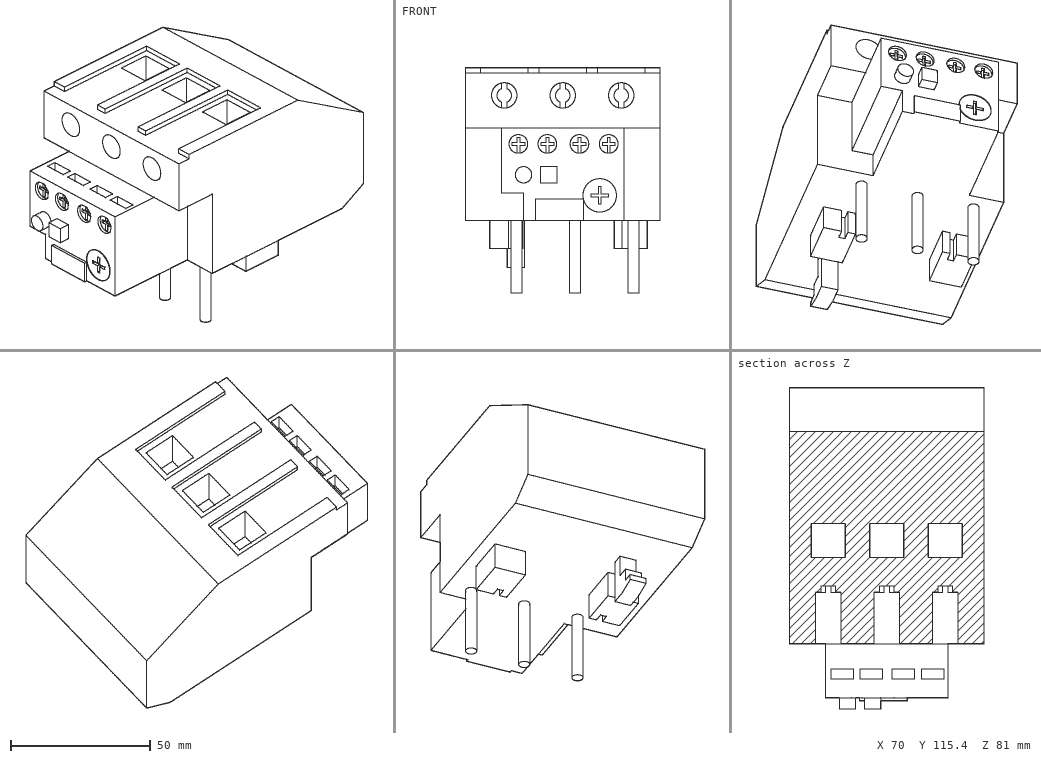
import cadquery as cq


width = 70.0
height = 55.0
depth = 92.0
overhang_depth = 16.6
overhang_z = 33.4
roof_slope_start_y = 59.3
roof_slope_end_z = 35.9
rear_bevel_y = 81.3
rear_bevel_z = 6.0

pole_pitch = 21.0
pole_xs = (-pole_pitch, 0, pole_pitch)
recess_depth = 1.8
front_step_length = 5.1
channel_width = 17.1
channel_end_y = 46.0
well_size = 12.1
well_front_y = 31.1
well_depth = 16.2
main_screw_z = 45
main_hole_diameter = 9.1
main_hole_depth = 18.5
screw_drive_diameter = 5.2
screw_drive_slot_width = 2.1
screw_drive_depth = 2.3

block_width = 44.1
block_front_y = -19.4
notch_right_x = -14.1
notch_height = 10.0

control_xs = (-15.9, -5.5, 6.0, 16.5)
control_screw_z = 27.6
control_screw_diameter = 6.7
control_screw_recess = 1.2
control_slot_width = 8.1
control_slot_length = 3.6
control_slot_rear_y = -9.0
control_slot_depth = 6.9
cross_arm = 2.3
cross_width = 1.0
cross_depth = 1.2

dial_x = 13.3
dial_z = 9.1
dial_diameter = 12.0
dial_recess = 0.2
dial_cross_arm = 3.1
button_length = 4.0
button_z = 16.5
round_button_x = -14.1
round_button_diameter = 5.9
square_button_x = -5.1
square_button_size = 5.9
label_left_x = -9.8
label_width = 17.2
label_height = 7.9
label_thickness = 1.0

pin_middle_x = 4.4
pin_y = 22.5
pin_diameter = 4.0
pin_length = 26.0

posts_middle_x = 2.1
post_spacing = 44.7
post_width = 12.0
post_front_y = 37.8
post_length_y = 16.2
post_height = 10.0
post_slot_width = 2.3
post_slot_offset = 2.0
post_slot_depth = 3.5

hook_left_x = -20.0
hook_width = 6.2
hook_front_y = 61.0
hook_stem_rear_y = 65.4
hook_step_y = 70.1
hook_tip_y = 74.2
hook_chamfer_y = 67.5
hook_step_z = -8.3
hook_tip_top_z = -13.0
hook_tip_bottom_z = -15.1
hook_bottom_z = -16.9


def box(x_min, y_min, z_min, x_size, y_size, z_size):
    """Box placed by its lowest corner."""
    return cq.Workplane().box(x_size, y_size, z_size, centered=False).translate((x_min, y_min, z_min))


def side_prism(points, x_min, x_size):
    """Outline of (y, z) points extruded along +X."""
    return cq.Workplane("YZ").polyline(points).close().extrude(x_size).translate((x_min, 0, 0))


def rod_y(x, z, diameter, y_min, y_size):
    """Cylinder along Y, starting at y_min and running towards +Y."""
    return cq.Workplane("XZ").circle(diameter / 2).extrude(-y_size).translate((x, y_min, z))


def cross_recess(x, z, arm, y_min, lower_arm):
    """Cross-shaped cutter whose downward arm may be longer than the others."""
    half = cross_width / 2
    bar = box(x - arm, y_min, z - half, 2 * arm, cross_depth, cross_width)
    upright = box(x - half, y_min, z - lower_arm, cross_width, cross_depth, lower_arm + arm)
    return bar.union(upright)


def housing():
    profile = [
        (overhang_depth, 0),
        (rear_bevel_y, 0),
        (depth, rear_bevel_z),
        (depth, roof_slope_end_z),
        (roof_slope_start_y, height),
        (front_step_length, height),
        (front_step_length, height - recess_depth),
        (0, height - recess_depth),
        (0, overhang_z),
        (overhang_depth, overhang_z),
    ]
    return side_prism(profile, -width / 2, width)


def main_terminal_cutter(x):
    """Top channel, wire well and front screw hole of one pole."""
    channel_floor = height - recess_depth
    channel = box(x - channel_width / 2, 0, channel_floor, channel_width, channel_end_y, recess_depth)
    well = box(
        x - well_size / 2, well_front_y, channel_floor - well_depth,
        well_size, well_size, well_depth,
    )
    hole = rod_y(x, main_screw_z, main_hole_diameter, 0, main_hole_depth)
    drive_round = rod_y(x, main_screw_z, screw_drive_diameter, main_hole_depth, screw_drive_depth)
    drive_slot = box(
        x - screw_drive_slot_width / 2, main_hole_depth, main_screw_z - main_hole_diameter / 2,
        screw_drive_slot_width, screw_drive_depth, main_hole_diameter,
    )
    drive_slot = drive_slot.intersect(
        rod_y(x, main_screw_z, main_hole_diameter, main_hole_depth, screw_drive_depth)
    )
    return channel.union(well).union(hole).union(drive_round).union(drive_slot)


def control_block():
    block_depth = overhang_depth - block_front_y
    block = box(-block_width / 2, block_front_y, 0, block_width, block_depth, overhang_z)
    notch_width = notch_right_x + block_width / 2
    return block.cut(box(-block_width / 2, block_front_y, 0, notch_width, block_depth, notch_height))


def control_terminal_cutter(x):
    """Top wire slot and front screw recess of one control terminal."""
    slot = box(
        x - control_slot_width / 2, control_slot_rear_y - control_slot_length,
        overhang_z - control_slot_depth,
        control_slot_width, control_slot_length, control_slot_depth,
    )
    recess = rod_y(x, control_screw_z, control_screw_diameter, block_front_y, control_screw_recess)
    cross = cross_recess(
        x, control_screw_z, cross_arm,
        block_front_y + control_screw_recess, control_screw_diameter / 2,
    )
    return slot.union(recess).union(cross)


def dial_cutter():
    recess = rod_y(dial_x, dial_z, dial_diameter, block_front_y, dial_recess)
    cross_y = block_front_y + dial_recess
    return recess.union(cross_recess(dial_x, dial_z, dial_cross_arm, cross_y, dial_cross_arm))


def buttons():
    front_y = block_front_y - button_length
    round_button = rod_y(round_button_x, button_z, round_button_diameter, front_y, button_length)
    square_button = box(
        square_button_x - square_button_size / 2, front_y, button_z - square_button_size / 2,
        square_button_size, button_length, square_button_size,
    )
    return round_button.union(square_button)


def label_plate():
    """Plate whose back fills the dial recess where the two overlap."""
    return box(
        label_left_x, block_front_y - label_thickness, 0,
        label_width, label_thickness + dial_recess, label_height,
    )


def pins():
    places = [(pin_middle_x + x, pin_y) for x in pole_xs]
    return cq.Workplane().pushPoints(places).circle(pin_diameter / 2).extrude(-pin_length)


def support_post(side):
    """Post with a blind front slot; side is -1 for left and +1 for right."""
    x = posts_middle_x + side * post_spacing / 2
    post = box(x - post_width / 2, post_front_y, -post_height, post_width, post_length_y, post_height)
    slot_x = x - side * post_slot_offset
    return post.cut(
        box(
            slot_x - post_slot_width / 2, post_front_y, -post_height,
            post_slot_width, post_slot_depth, post_height,
        )
    )


def hook():
    profile = [
        (hook_front_y, 0),
        (hook_stem_rear_y, 0),
        (hook_stem_rear_y, hook_step_z),
        (hook_step_y, hook_step_z),
        (hook_step_y, hook_tip_top_z),
        (hook_tip_y, hook_tip_top_z),
        (hook_tip_y, hook_tip_bottom_z),
        (hook_chamfer_y, hook_bottom_z),
        (hook_front_y, hook_bottom_z),
    ]
    return side_prism(profile, hook_left_x, hook_width)


result = housing().union(control_block())
for pole_x in pole_xs:
    result = result.cut(main_terminal_cutter(pole_x))
for control_x in control_xs:
    result = result.cut(control_terminal_cutter(control_x))
result = result.cut(dial_cutter())

result = result.union(buttons()).union(label_plate()).union(pins()).union(hook())
for post_side in (-1, 1):
    result = result.union(support_post(post_side))